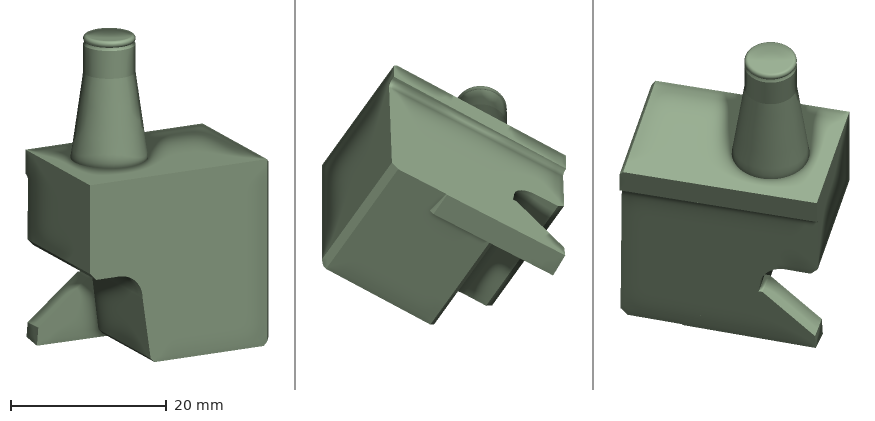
import cadquery as cq
import math

BLOCK_WIDTH = 18.0
BLOCK_DEPTH = 26.05
BLOCK_HEIGHT = 25.0
STEM_TO_LEFT = 7.95
STEM_TO_FRONT = 8.0
TOP_CHAMFER = 0.45
BACK_EDGE_CHAMFER = 0.45
BOTTOM_CHAMFER = 0.92

LEFT = -STEM_TO_LEFT
RIGHT = LEFT + BLOCK_WIDTH
FRONT = -STEM_TO_FRONT
BACK = FRONT + BLOCK_DEPTH

GULLET_TOP = -12.8
GULLET_DEPTH = 7.62
GULLET_RADIUS = 3.4
NOSE_CHAMFER = 0.92
WALL_TILT = 8.0
WALL_FOOT_CHAMFER = 0.6

STEM_HEIGHT = 16.45
STEM_RADIUS = 6.75 / 2
STEM_BASE_RADIUS = 10.0 / 2
CONE_HEIGHT = 11.5
TIP_ROUND = 0.45
TIP_COLLAR_HEIGHT = 0.85
COLLAR_TAPER_HEIGHT = 0.38

SEAT_TILT_Z = 2.0
SEAT_TILT_Y = 1.0
SEAT_CORNER_DEPTH = 25.2
LIP_HEIGHT = 3.25
LIP_FILLET = 0.85

INSERT_TOP = 17.25
INSERT_BOTTOM = 25.15
INSERT_OUTLINE = [
    (25.0, INSERT_TOP),
    (24.9, 19.2),
    (17.8, INSERT_BOTTOM),
    (0.13, INSERT_BOTTOM),
    (0.25, 23.15),
    (7.3, INSERT_TOP),
]
INSERT_THICKNESS = 3.23
SLOPE_RELIEF = 0.25
BOTTOM_RELIEF = 0.2
END_RELIEF = 0.1
TOP_RELIEF = 0.2
SIDE_RELIEFS = [0, SLOPE_RELIEF, BOTTOM_RELIEF, END_RELIEF, SLOPE_RELIEF, TOP_RELIEF]

BOSS_DIAMETER = 7.0
BOSS_BEHIND_FRONT = 12.55
BOSS_DEPTH = 21.15

slope_y = math.tan(math.radians(SEAT_TILT_Y))
slope_z = math.tan(math.radians(SEAT_TILT_Z))
SEAT = cq.Plane(
    origin=(LEFT, FRONT, -SEAT_CORNER_DEPTH),
    xDir=(slope_y, 1, 0),
    normal=(1, -slope_y, -slope_z),
)


def seat_point(behind_front, depth):
    """Position on the seat plane from distances to the front and the block top."""
    return behind_front, SEAT_CORNER_DEPTH - depth


def offset_outline(points, offsets):
    """Move each side of a counterclockwise outline outward and return the new corners."""
    sides = []
    for index, (x, y) in enumerate(points):
        next_x, next_y = points[(index + 1) % len(points)]
        length = math.hypot(next_x - x, next_y - y)
        normal_x = (next_y - y) / length
        normal_y = (x - next_x) / length
        sides.append((normal_x, normal_y, normal_x * x + normal_y * y + offsets[index]))

    corners = []
    for index, (bx, by, b_distance) in enumerate(sides):
        ax, ay, a_distance = sides[index - 1]
        cross = ax * by - ay * bx
        corners.append((
            (a_distance * by - b_distance * ay) / cross,
            (ax * b_distance - bx * a_distance) / cross,
        ))
    return corners


def make_insert_blank():
    """Insert without its hole, widening inward to relieve the cutting sides."""
    outer = [seat_point(*point) for point in INSERT_OUTLINE]
    outer.reverse()
    reliefs = SIDE_RELIEFS[-2::-1] + SIDE_RELIEFS[-1:]
    inner = offset_outline(outer, reliefs)
    return (
        cq.Workplane(SEAT).polyline(outer).close()
        .workplane(offset=INSERT_THICKNESS).polyline(inner).close()
        .loft(ruled=True, combine=True)
    )


def make_boss():
    center = seat_point(BOSS_BEHIND_FRONT, BOSS_DEPTH)
    return cq.Workplane(SEAT).center(*center).circle(BOSS_DIAMETER / 2).extrude(INSERT_THICKNESS)


def make_block():
    """Block profile in the YZ plane, with the gullet in its front."""
    gullet_wall = FRONT + GULLET_DEPTH
    arc_bottom = GULLET_TOP - GULLET_RADIUS
    arc_center_y = gullet_wall - GULLET_RADIUS
    arc_reach = GULLET_RADIUS * math.sqrt(0.5)
    foot_top = -BLOCK_HEIGHT + WALL_FOOT_CHAMFER
    foot_y = gullet_wall + (arc_bottom - foot_top) * math.tan(math.radians(WALL_TILT))
    block = (
        cq.Workplane("YZ", origin=(LEFT, 0, 0))
        .moveTo(FRONT, 0)
        .lineTo(FRONT, GULLET_TOP + NOSE_CHAMFER)
        .lineTo(FRONT + NOSE_CHAMFER, GULLET_TOP)
        .lineTo(arc_center_y, GULLET_TOP)
        .threePointArc((arc_center_y + arc_reach, arc_bottom + arc_reach), (gullet_wall, arc_bottom))
        .lineTo(foot_y, foot_top)
        .lineTo(foot_y + WALL_FOOT_CHAMFER, -BLOCK_HEIGHT)
        .lineTo(BACK - BOTTOM_CHAMFER, -BLOCK_HEIGHT)
        .lineTo(BACK, -BLOCK_HEIGHT + BOTTOM_CHAMFER)
        .lineTo(BACK, -TOP_CHAMFER)
        .lineTo(BACK - TOP_CHAMFER, 0)
        .close()
        .extrude(BLOCK_WIDTH)
    )
    back_corner = (
        cq.Workplane("XY")
        .polyline([(RIGHT, BACK), (RIGHT - BACK_EDGE_CHAMFER, BACK), (RIGHT, BACK - BACK_EDGE_CHAMFER)])
        .close()
        .extrude(-BLOCK_HEIGHT)
    )
    return block.cut(back_corner)


def make_seat_cut():
    """Material outside the seat plane, rounded where the seat meets the lip above it."""
    margin = 2.1
    top = SEAT_CORNER_DEPTH - LIP_HEIGHT
    cutter = (
        cq.Workplane(SEAT)
        .moveTo(-margin, -margin)
        .lineTo(BLOCK_DEPTH + margin, -margin)
        .lineTo(BLOCK_DEPTH + margin, top)
        .lineTo(-margin, top)
        .close()
        .extrude(-margin)
    )
    lip_edge = cq.selectors.NearestToPointSelector(SEAT.toWorldCoords((BLOCK_DEPTH / 2, top, 0)))
    return cutter.edges(lip_edge).fillet(LIP_FILLET)


def make_stem():
    """Tapered stem with a straight neck and a bulging rounded tip above a shallow groove."""
    groove_z = STEM_HEIGHT - TIP_COLLAR_HEIGHT
    round_center_r = STEM_RADIUS - TIP_ROUND
    round_center_z = STEM_HEIGHT - TIP_ROUND
    groove_radius = round_center_r + math.sqrt(TIP_ROUND**2 - (round_center_z - groove_z)**2)
    return (
        cq.Workplane("XZ")
        .lineTo(STEM_BASE_RADIUS, 0)
        .lineTo(STEM_RADIUS, CONE_HEIGHT)
        .lineTo(STEM_RADIUS, groove_z - COLLAR_TAPER_HEIGHT)
        .lineTo(groove_radius, groove_z)
        .threePointArc((STEM_RADIUS, round_center_z), (round_center_r, STEM_HEIGHT))
        .lineTo(0, STEM_HEIGHT)
        .close()
        .revolve(360, (0, 0, 0), (0, 1, 0))
    )


boss = make_boss()
insert_blank = make_insert_blank()
insert = insert_blank.cut(boss)
holder = make_block().cut(make_seat_cut()).cut(insert_blank).union(make_stem()).union(boss)

result = cq.Compound.makeCompound([holder.val(), insert.val()])